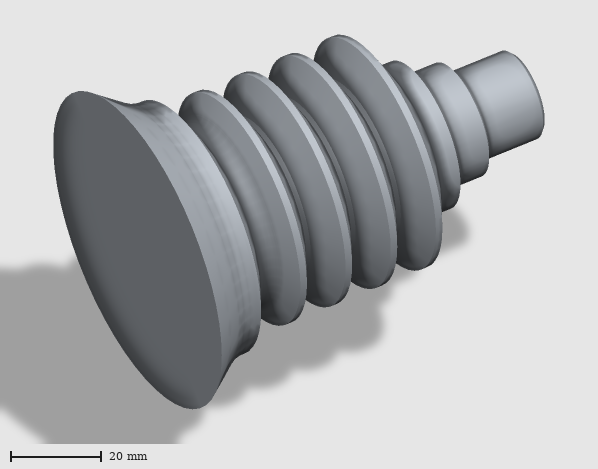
import cadquery as cq
import math

total_length = 97.9

stud_radius = 20.95 / 2
stud_length = 15.8
stud_chamfer = 1.0
collar_radius = 27.0 / 2
collar_length = 10.2
collar_chamfer_width = 1.1
collar_chamfer_angle = math.radians(30)

neck_radius = 35.0 / 2
neck_fillet = 2.6
ridge_radius = 55.0 / 2
groove_radius = 39.0 / 2
ridge_count = 4
ridge_width = 1.7
groove_width = 1.2
fold_rise = 4.3
top_ridge_y = 61.7

waist_radius = 21.5
waist_arc_radius = 3.0
shoulder_radius = 60.0 / 2
lip_radius = 75.0 / 2
lip_arc_radius = 9.7
lip_angle = math.radians(36)

stud_base_y = total_length - stud_length
neck_top_y = stud_base_y - collar_length
collar_chamfer_height = collar_chamfer_width * math.tan(collar_chamfer_angle)

flank_slope = fold_rise / (ridge_radius - groove_radius)
flank_angle = math.atan(flank_slope)
pitch = ridge_width + groove_width + 2 * fold_rise
bottom_ridge_y = top_ridge_y - (ridge_count - 1) * pitch - ridge_width


def arc_point(center_r, center_y, radius, angle):
    """Point on an arc that bulges toward the axis, angle measured from its innermost point."""
    return (center_r - radius * math.cos(angle), center_y + radius * math.sin(angle))


flank_turn = math.pi / 2 - flank_angle

neck_center_r = neck_radius + neck_fillet
neck_end_r = neck_center_r - neck_fillet * math.cos(flank_turn)
neck_end_y = top_ridge_y + (ridge_radius - neck_end_r) * flank_slope
neck_center_y = neck_end_y + neck_fillet * math.sin(flank_turn)

waist_center_r = waist_radius + waist_arc_radius
waist_end_r = waist_center_r - waist_arc_radius * math.cos(flank_turn)
waist_top_y = bottom_ridge_y - (ridge_radius - waist_end_r) * flank_slope
waist_center_y = waist_top_y - waist_arc_radius * math.sin(flank_turn)
waist_bottom_y = waist_center_y - waist_arc_radius * math.sin(flank_turn)
shoulder_y = waist_bottom_y - (shoulder_radius - waist_end_r) * flank_slope

lip_center_r = shoulder_radius + lip_arc_radius
lip_end_r = lip_center_r - lip_arc_radius * math.cos(lip_angle)
lip_end_y = (lip_radius - lip_end_r) / math.tan(lip_angle)
lip_center_y = lip_end_y + lip_arc_radius * math.sin(lip_angle)


def add_stud_and_neck(profile):
    return (
        profile
        .lineTo(stud_radius - stud_chamfer, total_length)
        .lineTo(stud_radius, total_length - stud_chamfer)
        .lineTo(stud_radius, stud_base_y)
        .lineTo(collar_radius - collar_chamfer_width, stud_base_y)
        .lineTo(collar_radius, stud_base_y - collar_chamfer_height)
        .lineTo(collar_radius, neck_top_y)
        .lineTo(neck_radius, neck_top_y)
        .lineTo(neck_radius, neck_center_y)
        .threePointArc(
            arc_point(neck_center_r, neck_center_y, neck_fillet, -flank_turn / 2),
            (neck_end_r, neck_end_y),
        )
    )


def add_bellows(profile):
    for index in range(ridge_count):
        ridge_top = top_ridge_y - index * pitch
        ridge_bottom = ridge_top - ridge_width
        profile = profile.lineTo(ridge_radius, ridge_top).lineTo(ridge_radius, ridge_bottom)
        if index < ridge_count - 1:
            groove_top = ridge_bottom - fold_rise
            profile = profile.lineTo(groove_radius, groove_top)
            profile = profile.lineTo(groove_radius, groove_top - groove_width)
    return profile


def add_waist_and_lip(profile):
    return (
        profile
        .lineTo(waist_end_r, waist_top_y)
        .threePointArc((waist_radius, waist_center_y), (waist_end_r, waist_bottom_y))
        .lineTo(shoulder_radius, shoulder_y)
        .lineTo(shoulder_radius, lip_center_y)
        .threePointArc(
            arc_point(lip_center_r, lip_center_y, lip_arc_radius, -lip_angle / 2),
            (lip_end_r, lip_end_y),
        )
        .lineTo(lip_radius, 0)
    )


half_profile = cq.Workplane("XY").moveTo(0, 0).lineTo(0, total_length)
half_profile = add_stud_and_neck(half_profile)
half_profile = add_bellows(half_profile)
half_profile = add_waist_and_lip(half_profile).close()

result = half_profile.revolve(360, (0, 0, 0), (0, 1, 0))